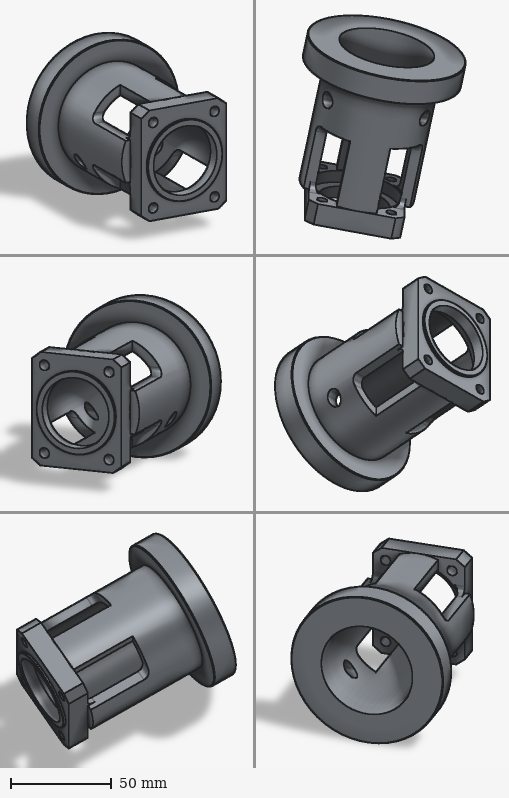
import cadquery as cq

total_length = 89.5
flange_thickness = 13.0
plate_thickness = 11.2
lip_length = 1.3
window_length = 35.0
plate_front = total_length - lip_length - plate_thickness
window_start = plate_front - window_length

flange_diameter = 80.0
tube_diameter = 58.0
lip_diameter = 42.5
main_bore_diameter = 48.0
step_bore_diameter = 46.0
outlet_diameter = 36.0
main_bore_depth = plate_front
step_bore_depth = 83.2
flange_chamfer = 0.45
lip_chamfer = 0.3

plate_width = 48.3
plate_height = tube_diameter
plate_corner_y = 4.6
plate_corner_z = 3.6
bolt_hole_diameter = 5.2
bolt_spacing_y = 34.9
bolt_spacing_z = 44.75

top_rib_half_width = 10.1
side_rib_half_width = 11.0
window_corner_radius = 3.9

cross_hole_diameter = 8.0
cross_hole_x = 27.3
cross_hole_z = -14.9


def cylinder(diameter, start, end):
    """Cylinder on the tube axis between two X positions."""
    return cq.Workplane("YZ", origin=(start, 0, 0)).circle(diameter / 2).extrude(end - start)


def make_plate():
    """Rectangular end plate with unequal corner chamfers."""
    half_y = plate_width / 2
    half_z = plate_height / 2
    flat_y = half_y - plate_corner_y
    flat_z = half_z - plate_corner_z
    outline = [
        (flat_y, half_z), (half_y, flat_z), (half_y, -flat_z), (flat_y, -half_z),
        (-flat_y, -half_z), (-half_y, -flat_z), (-half_y, flat_z), (-flat_y, half_z),
    ]
    return cq.Workplane("YZ", origin=(plate_front, 0, 0)).polyline(outline).close().extrude(plate_thickness)


def make_window(side_y, side_z):
    """Cutter for one quarter, rounded where its floor meets the tube and the plate."""
    reach = tube_diameter / 2
    cutter = (
        cq.Workplane("XY")
        .box(window_length, reach, reach, centered=False)
        .edges("|Y and <Z")
        .fillet(window_corner_radius)
        .translate((window_start, top_rib_half_width, side_rib_half_width))
    )
    open_end = cq.Workplane("XY").box(window_length / 2, reach, reach, centered=False).translate(
        (plate_front - window_length / 2, plate_width / 2, side_rib_half_width)
    )
    cutter = cutter.union(open_end)
    if side_y < 0:
        cutter = cutter.mirror("XZ")
    if side_z < 0:
        cutter = cutter.mirror("XY")
    return cutter


flange = cylinder(flange_diameter, 0, flange_thickness).edges().chamfer(flange_chamfer)
tube = cylinder(tube_diameter, 0, plate_front)
for side_y in (-1, 1):
    for side_z in (-1, 1):
        tube = tube.cut(make_window(side_y, side_z))
lip = cylinder(lip_diameter, plate_front, total_length).faces(">X").edges().chamfer(lip_chamfer)
result = flange.union(tube).union(make_plate()).union(lip)

result = result.cut(cylinder(main_bore_diameter, 0, main_bore_depth))
result = result.cut(cylinder(step_bore_diameter, 0, step_bore_depth))
result = result.cut(cylinder(outlet_diameter, 0, total_length))

bolt_holes = (
    cq.Workplane("YZ", origin=(plate_front, 0, 0))
    .rect(bolt_spacing_y, bolt_spacing_z, forConstruction=True)
    .vertices()
    .circle(bolt_hole_diameter / 2)
    .extrude(plate_thickness)
)
result = result.cut(bolt_holes)

cross_hole = (
    cq.Workplane("XZ", origin=(cross_hole_x, 0, cross_hole_z))
    .circle(cross_hole_diameter / 2)
    .extrude(tube_diameter / 2, both=True)
)
result = result.cut(cross_hole)